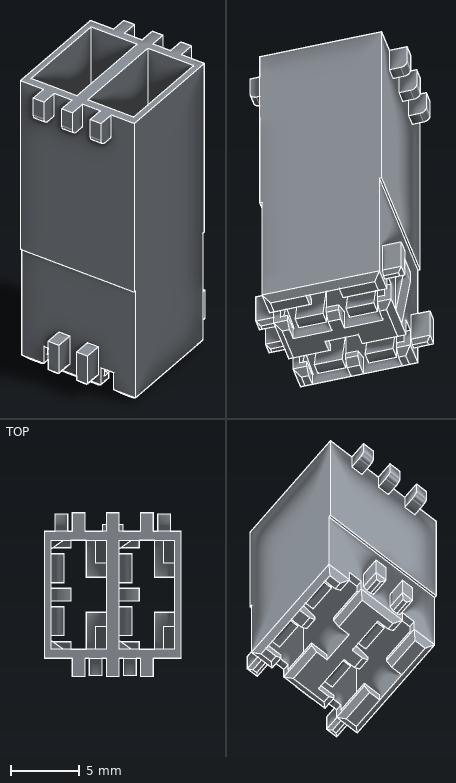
import cadquery as cq
import math


length = 10.0
height = 25.0
skirt_height = 10.0
upper_depth = 9.3
skirt_depth = 8.95
foot_chamfer = 0.5

side_wall = 0.5
divider = 0.95
cell_depth = 7.95
floor_top = 1.0
slot_height = 2.0
slot_spacing = 5.0
slot_width = 1.1

window_near = 0.48
window_far = 3.42
passage_half_depth = 1.28

lance_reach = 0.95
lance_near = 0.88
lance_far = 3.0
lance_angle = 75.0
bridge_angle = 25.0
gusset_x = 0.88
gusset_y = 0.62
gusset_height = 2.5
ramp_reach = 0.78
ramp_near = 2.32
ramp_angle = 55.0

rib_width = 0.95
rib_pitch = 2.5
rib_height = 2.0
rib_span = 12.0
rib_radius = 0.5

key_width = 0.95
key_span = 11.82
key_bottom = 1.0
key_top = 3.8
key_chamfer = 0.3
front_key_x = 1.25
back_key_x = 3.75

latch_width = 1.5
latch_bottom = 0.5
latch_nose_bottom = 4.65
latch_nose_top = 5.6
latch_top = 6.55
latch_nose_y = 5.15
latch_foot_y = 4.5

cell_back = cell_depth / 2
skirt_back = skirt_depth / 2
cell_width = (length - 2 * side_wall - divider) / 2
cell_left_walls = (-length / 2 + side_wall, divider / 2)


def box(x0, x1, y0, y1, z0, z1):
    """Box between two opposite corners."""
    return cq.Workplane("XY").box(x1 - x0, y1 - y0, z1 - z0, centered=False).translate((x0, y0, z0))


def prism_along_y(points, y0, y1):
    """Outline of (x, z) points swept from y0 to y1."""
    return cq.Workplane("XZ", origin=(0, y1, 0)).polyline(points).close().extrude(y1 - y0)


def both_ends(shape):
    """A shape together with its mirror image across y = 0."""
    return shape.union(shape.mirror("XZ"))


def make_body():
    skirt = (
        cq.Workplane("XY")
        .rect(length, skirt_depth)
        .extrude(skirt_height)
        .faces("<Z")
        .chamfer(foot_chamfer)
    )
    upper = (
        cq.Workplane("XY", origin=(0, 0, skirt_height))
        .rect(length, upper_depth)
        .extrude(height - skirt_height)
    )
    return skirt.union(upper)


def make_slot(x):
    """Slot through the feet along Y, with a flared mouth."""
    half = slot_width / 2
    mouth = half + foot_chamfer
    outline = [
        (x - mouth, 0),
        (x - half, foot_chamfer),
        (x - half, slot_height),
        (x + half, slot_height),
        (x + half, foot_chamfer),
        (x + mouth, 0),
    ]
    return prism_along_y(outline, -skirt_back, skirt_back)


def make_cell_hollow(left):
    """Cell above the floor, with the openings that pass through the floor."""
    right = left + cell_width
    middle = math.copysign(slot_spacing / 2, left + right)
    hollow = box(left, right, -cell_back, cell_back, floor_top, height)
    windows = both_ends(box(left, middle, window_near, window_far, 0, floor_top))
    passage = box(middle, right, -passage_half_depth, passage_half_depth, 0, floor_top)
    return hollow.union(windows).union(passage)


def make_cell_details(left):
    """Lances, bridge slope, corner gussets and ramps of one cell."""
    right = left + cell_width
    middle = math.copysign(slot_spacing / 2, left + right)
    lance_height = lance_reach * math.tan(math.radians(lance_angle))
    lance = prism_along_y(
        [(left, floor_top), (left + lance_reach, floor_top), (left, floor_top + lance_height)],
        lance_near,
        lance_far,
    )

    bridge_end = middle - slot_width / 2
    bridge_rise = (bridge_end - left) * math.tan(math.radians(bridge_angle))
    bridge = prism_along_y(
        [(left, floor_top), (bridge_end, floor_top), (left, floor_top + bridge_rise)],
        -window_near,
        window_near,
    )

    ramp_rise = ramp_reach * math.tan(math.radians(ramp_angle))
    ramp = prism_along_y(
        [(right, floor_top), (right - ramp_reach, floor_top), (right, floor_top + ramp_rise)],
        ramp_near,
        cell_back,
    )
    return bridge.union(both_ends(lance)).union(both_ends(ramp)).union(both_ends(make_gusset(left)))


def make_gusset(left):
    """Three-sided pyramid in the back left corner of a cell."""
    corner = cq.Vector(left, cell_back, floor_top)
    along_x = corner + cq.Vector(gusset_x, 0, 0)
    along_y = corner - cq.Vector(0, gusset_y, 0)
    apex = corner + cq.Vector(0, 0, gusset_height)
    triangles = [
        (corner, along_x, along_y),
        (corner, along_y, apex),
        (corner, apex, along_x),
        (along_x, apex, along_y),
    ]
    faces = [cq.Face.makeFromWires(cq.Wire.makePolygon(list(t), close=True)) for t in triangles]
    return cq.Workplane(cq.Solid.makeSolid(cq.Shell.makeShell(faces)))


def make_rib(x):
    """Rim rib on the back face, rounded under its tip."""
    rib = box(x - rib_width / 2, x + rib_width / 2, cell_back, rib_span / 2, height - rib_height, height)
    return rib.faces(">Y").edges("<Z").fillet(rib_radius)


def make_key(x):
    """Key on the back face, chamfered around its lower end."""
    key = box(x - key_width / 2, x + key_width / 2, cell_back, key_span / 2, key_bottom, key_top)
    return key.faces("<Z").edges("|Y or >Y").chamfer(key_chamfer)


def make_latch():
    outline = [
        (cell_back, latch_bottom),
        (latch_foot_y, latch_bottom),
        (latch_nose_y, latch_nose_bottom),
        (latch_nose_y, latch_nose_top),
        (skirt_back, latch_top),
        (cell_back, latch_top),
    ]
    return cq.Workplane("YZ").polyline(outline).close().extrude(latch_width / 2, both=True)


result = make_body()
for slot_x in (-slot_spacing / 2, slot_spacing / 2):
    result = result.cut(make_slot(slot_x))
for cell_left in cell_left_walls:
    result = result.cut(make_cell_hollow(cell_left))
for cell_left in cell_left_walls:
    result = result.union(make_cell_details(cell_left))
for rib_x in (-rib_pitch, 0, rib_pitch):
    result = result.union(both_ends(make_rib(rib_x)))
for side in (-1, 1):
    result = result.union(make_key(side * back_key_x))
    result = result.union(make_key(side * front_key_x).mirror("XZ"))
result = result.union(make_latch())